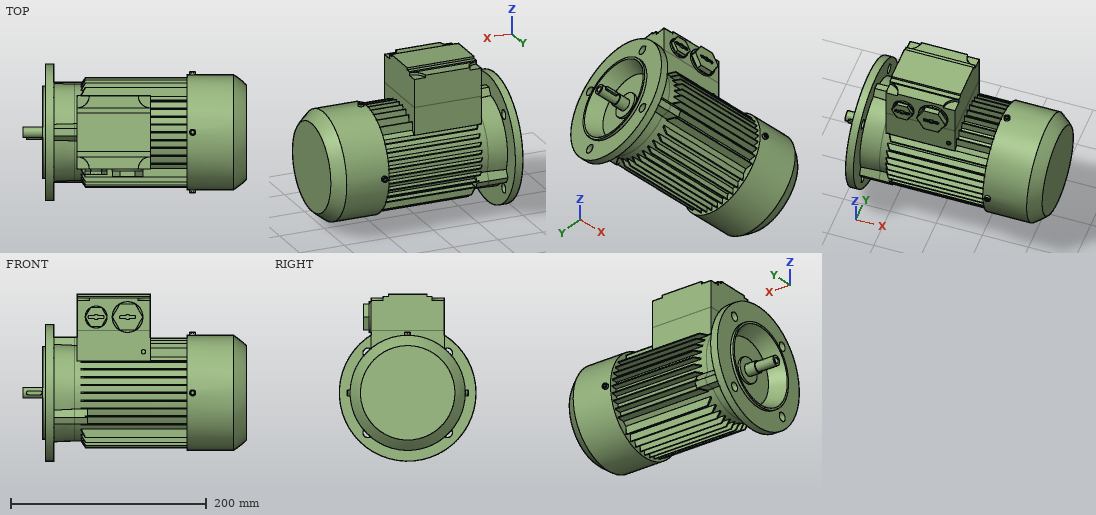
import cadquery as cq
import math

EMBED = 2.0

shaft_radius = 5.5
shaft_length = 23.0
shoulder_radius = 6.75
centre_hole_radius = 1.65
centre_hole_depth = 10.0
countersink_radius = 3.1
key_width = 4.0
key_length = 16.0
key_top = 7.2
key_bottom = 3.0
key_end_gap = 3.5

flange_radius = 70.0
flange_thickness = 8.6
spigot_radius = 47.5
spigot_height = 3.0
recess_mouth_radius = 45.2
recess_floor_radius = 37.3
recess_floor_x = 15.0
bearing_boss_radius = 14.5
bearing_boss_height = 2.5
flange_hole_radius = 5.0
flange_hole_circle_radius = 57.5

shield_flange_radius = 50.2
shield_end_x = 29.7
frame_radius = 49.3
fin_tip_radius = 56.2
fin_root_x = 36.3
fin_full_height_x = 41.0
fin_tip_thickness = 1.0
fin_draft_angle = 2.0
fin_pitch = 8.0
fins_each_side = 4

lug_radius = 57.0
lug_tip_width = 7.4
lug_base_width = 17.6
lug_end_x = 43.0
lug_angles = (90, 210, 330)

cowl_start_x = 144.8
cowl_shoulder_x = 192.4
cowl_end_x = 205.5
cowl_radius = 58.9
cowl_end_radius = 48.3
cowl_edge_bulge = 0.4
cowl_screw_x = 150.4
cowl_screw_radius = 3.1
cowl_screw_chamfer = 0.5
cowl_screw_top = 62.0
cowl_screw_socket_width = 3.6
cowl_screw_socket_depth = 1.5
cowl_screw_angles = (0, 90, 180)

box_start_x = 32.3
box_size = 75.0
box_bottom_z = 32.8
box_seam_z = 63.6
lid_edge_z = 97.2
lid_step_z = 98.6
lid_top_z = 100.8
lid_step_width = 50.0
lid_top_width = 39.5
lid_corner_radius = 12.5
lid_corner_z = 94.5
earth_hole_x = 100.2
earth_hole_z = 42.0
earth_hole_radius = 2.2
earth_hole_depth = 1.0

plug_z = 77.5
plug_collar_height = 2.0
blanking_plugs = (
    (51.8, 11.2, 19.6, 3.5),
    (83.9, 15.7, 27.0, 5.7),
)
plug_slot_length = 16.4
plug_slot_width = 3.4
plug_slot_hub_radius = 2.6
plug_slot_depth = 1.5

box_centre_x = box_start_x + box_size / 2
box_front_y = -box_size / 2


def cylinder_x(radius, start, end):
    return cq.Workplane("YZ", origin=(start, 0, 0)).circle(radius).extrude(end - start)


def cone_x(start, start_radius, end, end_radius):
    outline = [(start, 0), (start, start_radius), (end, end_radius), (end, 0)]
    return cq.Workplane("XY").polyline(outline).close().revolve(360, (0, 0, 0), (1, 0, 0))


def block(x_range, y_range, z_range):
    sizes = [high - low for low, high in (x_range, y_range, z_range)]
    corner = (x_range[0], y_range[0], z_range[0])
    return cq.Workplane("XY").box(*sizes, centered=False).translate(corner)


def around_axis(solid, angle):
    return solid.rotate((0, 0, 0), (1, 0, 0), angle)


def make_flange():
    flange = cylinder_x(flange_radius, 0, flange_thickness)
    flange = flange.union(cylinder_x(spigot_radius, -spigot_height, flange_thickness))
    side = flange_hole_circle_radius * math.sqrt(2)
    holes = (
        cq.Workplane("YZ")
        .rect(side, side, forConstruction=True)
        .vertices()
        .circle(flange_hole_radius)
        .extrude(flange_thickness)
    )
    return flange.cut(holes)


def make_recess():
    recess = cone_x(-spigot_height, recess_mouth_radius, recess_floor_x, recess_floor_radius)
    boss = cylinder_x(bearing_boss_radius, recess_floor_x - bearing_boss_height, recess_floor_x)
    return recess.cut(boss)


def make_shaft():
    shaft = cylinder_x(shaft_radius, -shaft_length, recess_floor_x)
    shaft = shaft.union(cylinder_x(shoulder_radius, 0, recess_floor_x + EMBED))
    key_centre_x = -key_end_gap - key_length / 2
    key = (
        cq.Workplane("XZ", origin=(key_centre_x, -key_bottom, 0))
        .slot2D(key_length, key_width)
        .extrude(key_top - key_bottom)
    )
    countersink_depth = (countersink_radius - centre_hole_radius) * math.sqrt(3)
    countersink = cone_x(
        -shaft_length, countersink_radius, countersink_depth - shaft_length, centre_hole_radius
    )
    drilling = cylinder_x(centre_hole_radius, -shaft_length, centre_hole_depth - shaft_length)
    return shaft.union(key).cut(drilling).cut(countersink)


def make_lugs(start, end):
    base_radius = math.sqrt(frame_radius**2 - (lug_base_width / 2) ** 2)
    half_tip = lug_tip_width / 2
    half_base = lug_base_width / 2
    root_radius = base_radius - EMBED
    lug = (
        cq.Workplane("YZ", origin=(start, 0, 0))
        .moveTo(root_radius, -half_base)
        .lineTo(base_radius, -half_base)
        .lineTo(lug_radius, -half_tip)
        .lineTo(lug_radius, half_tip)
        .lineTo(base_radius, half_base)
        .lineTo(root_radius, half_base)
        .close()
        .extrude(end - start)
    )
    lugs = cq.Workplane()
    for angle in lug_angles:
        lugs = lugs.add(around_axis(lug, angle))
    return lugs


def make_shield():
    shield = cone_x(flange_thickness, shield_flange_radius, shield_end_x, frame_radius)
    return shield.union(make_lugs(flange_thickness, shield_end_x))


def make_fin_pair(offset):
    """Two opposite drafted fins along Y, joined through the barrel, centred at Z = offset."""
    half_tip = fin_tip_thickness / 2
    tip = math.sqrt(fin_tip_radius**2 - (abs(offset) + half_tip) ** 2)
    half_middle = half_tip + tip * math.tan(math.radians(fin_draft_angle))
    outline = [
        (-tip, offset - half_tip),
        (0, offset - half_middle),
        (tip, offset - half_tip),
        (tip, offset + half_tip),
        (0, offset + half_middle),
        (-tip, offset + half_tip),
    ]
    plane = cq.Workplane("YZ", origin=(fin_root_x, 0, 0))
    return plane.polyline(outline).close().extrude(cowl_start_x - fin_root_x)


def make_frame():
    """Barrel with parallel fins on four sides, their front ends cut to a cone, and lugs."""
    envelope = cone_x(fin_root_x, frame_radius, fin_full_height_x, fin_tip_radius).union(
        cylinder_x(fin_tip_radius, fin_full_height_x, cowl_start_x)
    )
    frame = cylinder_x(frame_radius, shield_end_x, cowl_start_x)
    for index in range(-fins_each_side, fins_each_side + 1):
        fin_pair = make_fin_pair(index * fin_pitch).intersect(envelope)
        frame = frame.union(fin_pair).union(around_axis(fin_pair, 90))
    return frame.union(make_lugs(shield_end_x, lug_end_x))


def make_cowl():
    middle_x = (cowl_shoulder_x + cowl_end_x) / 2
    middle_radius = (cowl_radius + cowl_end_radius) / 2
    edge_arc_middle = (middle_x + cowl_edge_bulge, middle_radius + cowl_edge_bulge)
    cowl = (
        cq.Workplane("XY")
        .moveTo(cowl_start_x, 0)
        .lineTo(cowl_start_x, cowl_radius)
        .lineTo(cowl_shoulder_x, cowl_radius)
        .threePointArc(edge_arc_middle, (cowl_end_x, cowl_end_radius))
        .lineTo(cowl_end_x, 0)
        .close()
        .revolve(360, (0, 0, 0), (1, 0, 0))
    )
    socket_diameter = cowl_screw_socket_width / math.cos(math.pi / 6)
    screw_bottom = cowl_radius - EMBED
    screw = (
        cq.Workplane("XZ", origin=(cowl_screw_x, screw_bottom, 0))
        .circle(cowl_screw_radius)
        .extrude(screw_bottom - cowl_screw_top)
        .faces(">Y")
        .chamfer(cowl_screw_chamfer)
        .faces(">Y")
        .workplane()
        .polygon(6, socket_diameter)
        .cutBlind(-cowl_screw_socket_depth)
    )
    for angle in cowl_screw_angles:
        cowl = cowl.union(around_axis(screw, angle))
    return cowl


def make_lid():
    box_range = (box_start_x, box_start_x + box_size)

    def layer(width, bottom, top):
        return block(box_range, (-width / 2, width / 2), (bottom, top))

    lid = layer(box_size, box_seam_z, lid_edge_z)
    corners = (
        cq.Workplane("XY", origin=(box_centre_x, 0, lid_corner_z))
        .rect(box_size, box_size, forConstruction=True)
        .vertices()
        .circle(lid_corner_radius)
        .extrude(lid_edge_z - lid_corner_z)
    )
    lid = lid.cut(corners)
    lid = lid.union(layer(lid_step_width, box_seam_z, lid_step_z))
    return lid.union(layer(lid_top_width, box_seam_z, lid_top_z))


def make_plug(centre_x, collar_radius, across_flats, head_height):
    collar_face_y = box_front_y - plug_collar_height
    head_face_y = collar_face_y - head_height
    collar = (
        cq.Workplane("XZ", origin=(centre_x, box_front_y + EMBED, plug_z))
        .circle(collar_radius)
        .extrude(EMBED + plug_collar_height)
    )
    head = (
        cq.Workplane("XZ", origin=(centre_x, collar_face_y + EMBED / 2, plug_z))
        .polygon(6, across_flats / math.cos(math.pi / 6))
        .extrude(EMBED / 2 + head_height)
    )
    slot_plane = cq.Workplane("XZ", origin=(centre_x, head_face_y + plug_slot_depth, plug_z))
    slot = slot_plane.slot2D(plug_slot_length, plug_slot_width).extrude(plug_slot_depth)
    hub = slot_plane.circle(plug_slot_hub_radius).extrude(plug_slot_depth)
    return collar.union(head).cut(slot).cut(hub)


def make_terminal_box():
    base = block(
        (box_start_x, box_start_x + box_size),
        (-box_size / 2, box_size / 2),
        (box_bottom_z, box_seam_z),
    )
    earth_hole = (
        cq.Workplane("XZ", origin=(earth_hole_x, box_front_y + earth_hole_depth, earth_hole_z))
        .circle(earth_hole_radius)
        .extrude(earth_hole_depth)
    )
    box = base.cut(earth_hole).union(make_lid(), clean=False)
    for plug in blanking_plugs:
        box = box.union(make_plug(*plug), clean=False)
    return box


result = (
    make_flange()
    .union(make_shield())
    .union(make_frame(), clean=False)
    .union(make_cowl(), clean=False)
    .cut(make_recess(), clean=False)
    .union(make_shaft(), clean=False)
    .union(make_terminal_box(), clean=False)
)